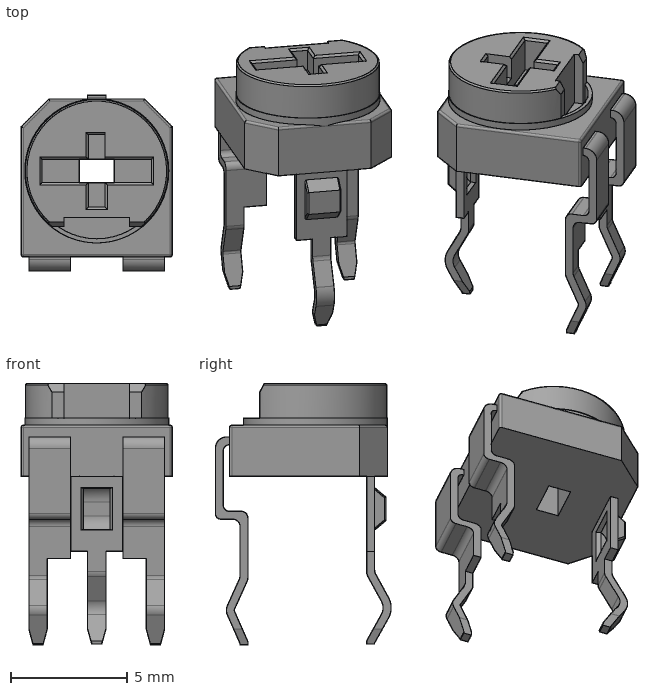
import cadquery as cq
import math


BODY_WIDTH = 6.5
BODY_BACK = 3.1
BODY_FRONT = -3.7
BODY_HEIGHT = 2.2
CORNER_CUT = 1.2
BODY_EDGE_RADIUS = 0.1

COLLAR_DIA = 6.2
COLLAR_BORE_DIA = 5.84
COLLAR_TOP = BODY_HEIGHT + 0.3
ROTOR_DIA = 6.15
ROTOR_TOP = BODY_HEIGHT + 1.8
ROTOR_EDGE = 0.07
FLAT_Y = -2.4
FLAT_BEVEL_DEPTH = 0.2
FLAT_BEVEL_HEIGHT = 0.38
NOTCH_WIDTH = 2.8
NOTCH_Y = -2.0
RELIEF_FLOOR = 1.7

CROSS_LONG = 4.9
CROSS_LONG_WIDTH = 1.2
CROSS_SHORT = 3.32
CROSS_SHORT_WIDTH = 0.92
CROSS_BEVEL = 0.1
BEVEL_ANGLE = 45
CROSS_LONG_DEPTH = 1.5
CROSS_SHORT_DEPTH = 1.0
HOLE_LENGTH = 1.5
HOLE_WIDTH = CROSS_LONG_WIDTH - 2 * CROSS_BEVEL

NO_BEND = (0, 0)
SHEET = 0.35
TERMINAL_EMBED = 0.5
PIN_WIDTH = 0.8
PIN_TIP_WIDTH = 0.43
PIN_TAPER_TOP = -6.57
PIN_STRAIGHT_TIP = 0.1
SIDE_OUTER_X = 2.925
SIDE_WIDTH = 1.8
SIDE_SHOULDER = -3.54
SIDE_TOP = 1.7
SIDE_BOTTOM = -7.25
SIDE_UPPER_Y = -4.31 + SHEET / 2
SIDE_LOWER_Y = -3.25 + SHEET / 2
SIDE_STEP_Z = -1.85 + SHEET / 2
SIDE_TOP_BEND = (0.25, 0.5)
SIDE_STEP_UPPER_BEND = (0.25, 0.25)
SIDE_STEP_LOWER_BEND = (0.3, 0.3)
SIDE_PIN_BEND = (0.4, 0.4)
SIDE_KINK_BEND = (0.16, 0.5)
SIDE_KINK = (-3.69, -5.76)
SIDE_KINK_TOP = -4.4
CENTRE_WIDTH = 2.22
CENTRE_SHOULDER = -3.23
CENTRE_BOTTOM = -7.22
CENTRE_Y = 2.2 + SHEET / 2
CENTRE_PIN_BEND = (0.4, 0.45)
CENTRE_KINK_BEND = (0.6, 0.9)
CENTRE_KINK = (3.19, -5.66)
CENTRE_KINK_TOP = -4.17

BUMP_TOP = -0.49
BUMP_BOTTOM = -2.31
BUMP_HEIGHT = 0.49
BUMP_SLOPE_RUN = 0.41
BUMP_WIDTH = 1.5
BUMP_EDGE = 0.06
DIMPLE_MOUTH_WIDTH = 1.34
DIMPLE_MOUTH_DEPTH = 0.2
DIMPLE_WIDTH = 1.13
DIMPLE_DEPTH = BUMP_HEIGHT
DIMPLE_FLAT_HEIGHT = 0.61
DIMPLE_END_INSET = 0.03


def unit(start, end):
    length = math.dist(start, end)
    return ((end[0] - start[0]) / length, (end[1] - start[1]) / length)


def bend_sign(before, after):
    """+1 for a left-hand bend, -1 for a right-hand bend."""
    return math.copysign(1, before[0] * after[1] - before[1] * after[0])


def side_of_sheet(path, side):
    """Corners (y, z, radius) of the sheet face on the left (+1) or right (-1) of its mid line."""
    half = side * SHEET / 2
    corners = []
    last = len(path) - 1
    for i, (y, z, inner_radius, outer_radius) in enumerate(path):
        before = unit(path[max(i - 1, 0)][:2], path[max(i, 1)][:2])
        after = unit(path[min(i, last - 1)][:2], path[min(i + 1, last)][:2])
        mitre = half / (1 + before[0] * after[0] + before[1] * after[1])
        corner_y = y - mitre * (before[1] + after[1])
        corner_z = z + mitre * (before[0] + after[0])
        is_inner = bend_sign(before, after) == side
        corners.append((corner_y, corner_z, inner_radius if is_inner else outer_radius))
    return corners


def rounded_outline(corners, half_width):
    """Closed YZ outline, centred across X, with an arc of the given radius at each corner."""
    outline = cq.Workplane("YZ", origin=(-half_width, 0, 0)).moveTo(*corners[0][:2])
    count = len(corners)
    for i in range(1, count):
        y, z, radius = corners[i]
        if radius == 0:
            outline = outline.lineTo(y, z)
            continue
        back = unit((y, z), corners[i - 1][:2])
        ahead = unit((y, z), corners[(i + 1) % count][:2])
        half_angle = math.acos(back[0] * ahead[0] + back[1] * ahead[1]) / 2
        tangent = radius / math.tan(half_angle)
        bisector = unit((0, 0), (back[0] + ahead[0], back[1] + ahead[1]))
        to_arc = radius / math.sin(half_angle) - radius
        outline = outline.lineTo(y + tangent * back[0], z + tangent * back[1])
        outline = outline.threePointArc(
            (y + to_arc * bisector[0], z + to_arc * bisector[1]),
            (y + tangent * ahead[0], z + tangent * ahead[1]),
        )
    return outline.close()


def bent_sheet(path, width):
    """Sheet of constant thickness bent along (y, z, inner radius, outer radius) points."""
    corners = side_of_sheet(path, 1) + side_of_sheet(path, -1)[::-1]
    return rounded_outline(corners, width / 2).extrude(width)


def front_silhouette(points):
    """Prism through the whole part along Y, used to trim a bent sheet."""
    return cq.Workplane("XZ").polyline(points).close().extrude(BODY_WIDTH, both=True)


def pin_end(pin_x, shoulder, bottom):
    """Silhouette points of a tapered pin from its right shoulder round to its left one."""
    half = PIN_WIDTH / 2
    half_tip = PIN_TIP_WIDTH / 2
    return [
        (pin_x + half, shoulder),
        (pin_x + half, PIN_TAPER_TOP),
        (pin_x + half_tip, bottom),
        (pin_x - half_tip, bottom),
        (pin_x - half, PIN_TAPER_TOP),
        (pin_x - half, shoulder),
    ]


def make_body():
    depth = BODY_BACK - BODY_FRONT
    body = (
        cq.Workplane("XY")
        .box(BODY_WIDTH, depth, BODY_HEIGHT, centered=(True, True, False))
        .translate((0, (BODY_BACK + BODY_FRONT) / 2, 0))
    )
    body = body.edges("|Z and >Y").chamfer(CORNER_CUT)
    body = body.edges("|Z and <Y").fillet(BODY_EDGE_RADIUS)
    return body.faces(">Z").edges().fillet(BODY_EDGE_RADIUS)


def make_collar_and_rotor():
    collar_bottom = BODY_HEIGHT - BODY_EDGE_RADIUS
    collar = cq.Workplane("XY").workplane(offset=collar_bottom).circle(COLLAR_DIA / 2)
    collar = collar.extrude(COLLAR_TOP - collar_bottom)
    rotor = cq.Workplane("XY").workplane(offset=COLLAR_TOP).circle(ROTOR_DIA / 2)
    rotor = rotor.extrude(ROTOR_TOP - COLLAR_TOP).faces(">Z").edges().chamfer(ROTOR_EDGE)
    return collar.union(rotor)


def make_front_relief():
    """Bevelled flat and deeper notch at the rotor front, running down inside the collar bore."""
    beyond = FLAT_Y - COLLAR_DIA
    flat = (
        cq.Workplane("YZ", origin=(-COLLAR_DIA / 2, 0, 0))
        .polyline([
            (beyond, RELIEF_FLOOR),
            (FLAT_Y, RELIEF_FLOOR),
            (FLAT_Y, ROTOR_TOP - FLAT_BEVEL_HEIGHT),
            (FLAT_Y + FLAT_BEVEL_DEPTH, ROTOR_TOP),
            (beyond, ROTOR_TOP),
        ])
        .close()
        .extrude(COLLAR_DIA)
    )
    notch_length = NOTCH_Y - beyond
    notch = (
        cq.Workplane("XY", origin=(0, NOTCH_Y - notch_length / 2, RELIEF_FLOOR))
        .rect(NOTCH_WIDTH, notch_length)
        .extrude(ROTOR_TOP - RELIEF_FLOOR)
    )
    collar_wall = (
        cq.Workplane("XY")
        .circle(2 * COLLAR_DIA)
        .circle(COLLAR_BORE_DIA / 2)
        .extrude(COLLAR_TOP)
    )
    return flat.union(notch).cut(collar_wall)


def make_cross():
    """Screwdriver cross with bevelled top edges, and the rectangular hole through its middle."""
    top = cq.Workplane("XY", origin=(0, 0, ROTOR_TOP))
    bevels = top.rect(CROSS_LONG, CROSS_LONG_WIDTH).extrude(-CROSS_BEVEL, taper=BEVEL_ANGLE)
    short_bevel = top.rect(CROSS_SHORT_WIDTH, CROSS_SHORT).extrude(-CROSS_BEVEL, taper=BEVEL_ANGLE)

    plain_wall_x = CROSS_SHORT_WIDTH / 2 - CROSS_BEVEL
    plain_wall = (
        cq.Workplane("XY", origin=(plain_wall_x, 0, ROTOR_TOP - CROSS_BEVEL))
        .box(CROSS_BEVEL, CROSS_SHORT, CROSS_BEVEL, centered=False)
    )
    bevels = bevels.union(short_bevel.cut(plain_wall))

    inset = 2 * CROSS_BEVEL
    long_slot = top.rect(CROSS_LONG - inset, CROSS_LONG_WIDTH - inset).extrude(-CROSS_LONG_DEPTH)
    short_slot = top.rect(CROSS_SHORT_WIDTH - inset, CROSS_SHORT - inset).extrude(-CROSS_SHORT_DEPTH)
    hole = cq.Workplane("XY").rect(HOLE_LENGTH, HOLE_WIDTH).extrude(ROTOR_TOP)
    return bevels.union(long_slot).union(short_slot).union(hole)


def make_side_terminal():
    """Terminal at +X: leaves the housing front, steps back under it and ends in a kinked pin."""
    top_z = SIDE_TOP - SHEET / 2
    path = [
        (BODY_FRONT + TERMINAL_EMBED, top_z, *NO_BEND),
        (SIDE_UPPER_Y, top_z, *SIDE_TOP_BEND),
        (SIDE_UPPER_Y, SIDE_STEP_Z, *SIDE_STEP_UPPER_BEND),
        (SIDE_LOWER_Y, SIDE_STEP_Z, *SIDE_STEP_LOWER_BEND),
        (SIDE_LOWER_Y, SIDE_KINK_TOP, *SIDE_PIN_BEND),
        (*SIDE_KINK, *SIDE_KINK_BEND),
        (SIDE_LOWER_Y, SIDE_BOTTOM + PIN_STRAIGHT_TIP, *NO_BEND),
        (SIDE_LOWER_Y, SIDE_BOTTOM, *NO_BEND),
    ]
    inner_x = SIDE_OUTER_X - SIDE_WIDTH
    pin_x = SIDE_OUTER_X - PIN_WIDTH / 2
    silhouette = [(SIDE_OUTER_X, SIDE_TOP)]
    silhouette += pin_end(pin_x, SIDE_SHOULDER, SIDE_BOTTOM)
    silhouette += [(inner_x, SIDE_SHOULDER), (inner_x, SIDE_TOP)]
    return bent_sheet(path, BODY_WIDTH).intersect(front_silhouette(silhouette))


def make_bump(base_y):
    """Raised bump on the back face: sloped top and bottom, bevelled outer edges."""
    bump = (
        cq.Workplane("YZ", origin=(-BUMP_WIDTH / 2, 0, 0))
        .polyline([
            (base_y, BUMP_TOP),
            (base_y + BUMP_HEIGHT, BUMP_TOP - BUMP_SLOPE_RUN),
            (base_y + BUMP_HEIGHT, BUMP_BOTTOM + BUMP_SLOPE_RUN),
            (base_y, BUMP_BOTTOM),
        ])
        .close()
        .extrude(BUMP_WIDTH)
    )
    return bump.faces("<X or >X").edges("not <Y").chamfer(BUMP_EDGE)


def make_dimple(base_y):
    """Hollow behind the bump: a tapered mouth, then a channel curving to a flat bottom."""
    middle_z = (BUMP_TOP + BUMP_BOTTOM) / 2
    mouth_height = BUMP_TOP - BUMP_BOTTOM
    half_height = mouth_height / 2 - DIMPLE_END_INSET
    half_flat = DIMPLE_FLAT_HEIGHT / 2
    mouth = (
        cq.Workplane("XZ", origin=(0, base_y, middle_z))
        .rect(DIMPLE_MOUTH_WIDTH, mouth_height)
        .workplane(offset=-DIMPLE_MOUTH_DEPTH)
        .rect(DIMPLE_WIDTH, 2 * half_height)
        .loft()
    )
    arc_depth = DIMPLE_DEPTH - DIMPLE_MOUTH_DEPTH
    arc_run = half_height - half_flat
    arc_radius = (arc_run**2 + arc_depth**2) / (2 * arc_depth)
    half_turn = math.asin(arc_run / arc_radius) / 2
    arc_middle = half_flat + arc_radius * math.sin(half_turn)
    arc_sag = arc_radius * (1 - math.cos(half_turn))
    channel = (
        cq.Workplane("YZ", origin=(-DIMPLE_WIDTH / 2, base_y + DIMPLE_MOUTH_DEPTH, middle_z))
        .moveTo(arc_depth, half_flat)
        .lineTo(arc_depth, -half_flat)
        .threePointArc((arc_depth - arc_sag, -arc_middle), (0, -half_height))
        .lineTo(0, half_height)
        .threePointArc((arc_depth - arc_sag, arc_middle), (arc_depth, half_flat))
        .close()
        .extrude(DIMPLE_WIDTH)
    )
    return mouth.union(channel)


def make_centre_terminal():
    """Terminal at the back: straight plate with a hollow bump, ending in a kinked pin."""
    path = [
        (CENTRE_Y, TERMINAL_EMBED, *NO_BEND),
        (CENTRE_Y, CENTRE_KINK_TOP, *CENTRE_PIN_BEND),
        (*CENTRE_KINK, *CENTRE_KINK_BEND),
        (CENTRE_Y, CENTRE_BOTTOM + PIN_STRAIGHT_TIP, *NO_BEND),
        (CENTRE_Y, CENTRE_BOTTOM, *NO_BEND),
    ]
    half = CENTRE_WIDTH / 2
    silhouette = [(half, TERMINAL_EMBED), (half, CENTRE_SHOULDER)]
    silhouette += pin_end(0, CENTRE_SHOULDER, CENTRE_BOTTOM)
    silhouette += [(-half, CENTRE_SHOULDER), (-half, TERMINAL_EMBED)]
    terminal = bent_sheet(path, BODY_WIDTH).intersect(front_silhouette(silhouette))

    front_face = CENTRE_Y - SHEET / 2
    back_face = CENTRE_Y + SHEET / 2
    return terminal.union(make_bump(back_face)).cut(make_dimple(front_face))


side_terminal = make_side_terminal()
result = make_body().union(make_collar_and_rotor())
result = result.cut(make_front_relief()).cut(make_cross())
result = result.union(side_terminal).union(side_terminal.mirror("YZ"))
result = result.union(make_centre_terminal())